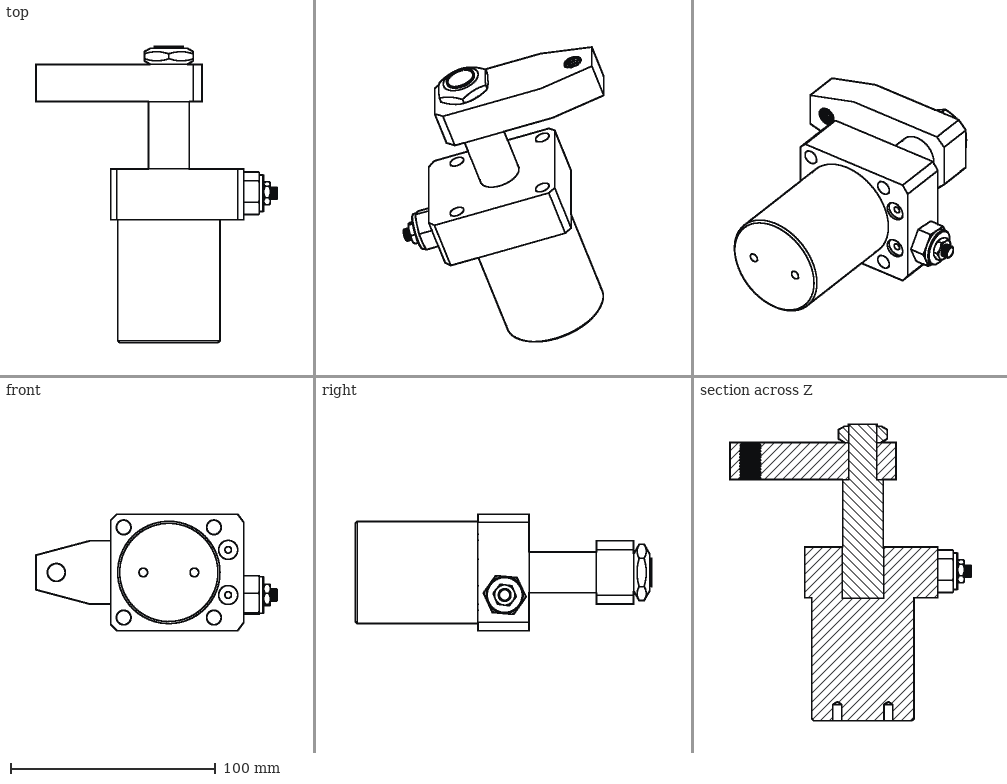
import cadquery as cq
import math


barrel_diameter = 50.0
barrel_length = 60.0
barrel_chamfer = 1.0
flange_height = 57.0
flange_thickness = 25.0
flange_left = 28.4
flange_right = 36.7
corner_chamfer = 3.0
right_corner_chamfer_z = 4.0
mount_hole_diameter = 7.0
mount_hole_spacing = 44.1
spanner_hole_diameter = 4.2
spanner_hole_spacing = 25.0
spanner_hole_depth = 8.0
drill_point_angle = 118
port_x = 29.0
port_spacing = 22.0
port_recess_diameter = 9.3
port_recess_depth = 1.5
port_diameter = 3.2
port_depth = 8.0

rod_diameter = 20.0
rod_exposed_length = 32.9
stud_diameter = 14.0
stud_projection = 1.0
stud_pitch = 1.0
stud_thread_depth = 0.6

arm_thickness = 18.1
arm_height = 31.0
arm_left = 65.0
arm_right = 16.2
arm_tip_height = 17.0
arm_taper_length = 26.4
arm_end_chamfer = 4.4
clamp_hole_x = -55.0
clamp_hole_diameter = 8.5
clamp_thread_pitch = 1.5
clamp_thread_depth = 0.7

nut_width = 23.9
nut_height = 8.0
nut_face_diameter = 18.0
nut_chamfer_angle = 30

valve_y = 13.0
valve_z = -port_spacing / 2
valve_hex_width = 18.1
valve_hex_length = 7.5
valve_hex_turn = 5.2
valve_hex_chamfer = 0.5
collar_diameter = 18.0
collar_length = 2.2
collar_chamfer = 0.5
lock_nut_width = 9.9
lock_nut_height = 3.2
lock_nut_chamfer = 0.7
lock_nut_turn = 8.0
screw_diameter = 6.1
screw_length_past_nut = 3.3
screw_end_chamfer = 0.5
screw_pitch = 0.7
screw_thread_depth = 0.5

arm_front = flange_thickness + rod_exposed_length
arm_back = arm_front + arm_thickness
nut_back = arm_back + nut_height
stud_end = nut_back + stud_projection

collar_start = valve_hex_length
lock_nut_start = collar_start + collar_length
lock_nut_end = lock_nut_start + lock_nut_height
screw_end = lock_nut_end + screw_length_past_nut

thread_fill = 0.84
groove_overlap = 0.1


def along_y(diameter, start, end, x=0, z=0):
    """Cylinder parallel to Y between two Y stations."""
    return cq.Workplane("XZ", origin=(x, start, z)).circle(diameter / 2).extrude(start - end)


def hexagon(width, height):
    """Hexagonal prism on the Z axis with two corners on the X axis."""
    return cq.Workplane("XY").polygon(6, width / math.cos(math.pi / 6)).extrude(height)


def chamfered_blank(end_radius, height, slope, chamfer_bottom):
    """Round blank on the Z axis with conical ends, used to trim the corners of a hexagon."""
    middle = height / 2
    wide_radius = end_radius + middle / slope
    profile = cq.Workplane("XZ").moveTo(0, 0)
    if chamfer_bottom:
        profile = profile.lineTo(end_radius, 0).lineTo(wide_radius, middle)
    else:
        profile = profile.lineTo(wide_radius, 0).lineTo(wide_radius, middle)
    return profile.lineTo(end_radius, height).lineTo(0, height).close().revolve(360, (0, 0), (0, 1))


def thread_grooves(surface_radius, depth, pitch, length):
    """Ring grooves of a thread on the Z axis; a negative depth cuts inward from the surface."""
    mouth_radius = surface_radius - math.copysign(groove_overlap, depth)
    half_mouth = pitch * thread_fill / 2
    ring = (
        cq.Workplane("XZ")
        .moveTo(mouth_radius, -half_mouth)
        .lineTo(surface_radius, -half_mouth)
        .lineTo(surface_radius + depth, 0)
        .lineTo(surface_radius, half_mouth)
        .lineTo(mouth_radius, half_mouth)
        .close()
        .revolve(360, (0, 0), (0, 1))
    )
    count = int(length / pitch)
    return [ring.translate((0, 0, (i + 0.5) * pitch)) for i in range(count)]


def z_axis_to_y(shape):
    """Turn a shape built on the Z axis so that its axis points along +Y."""
    return shape.rotate((0, 0, 0), (1, 0, 0), -90)


def z_axis_to_valve(shape, start):
    """Turn a shape built on the Z axis onto the valve axis, starting at the given station."""
    return shape.rotate((0, 0, 0), (0, 1, 0), 90).translate((flange_right + start, valve_y, valve_z))


def make_housing():
    top = flange_height / 2
    flange = (
        cq.Workplane("XZ")
        .moveTo(-flange_left, corner_chamfer - top)
        .lineTo(-flange_left, top - corner_chamfer)
        .lineTo(corner_chamfer - flange_left, top)
        .lineTo(flange_right - corner_chamfer, top)
        .lineTo(flange_right, top - right_corner_chamfer_z)
        .lineTo(flange_right, right_corner_chamfer_z - top)
        .lineTo(flange_right - corner_chamfer, -top)
        .lineTo(corner_chamfer - flange_left, -top)
        .close()
        .extrude(-flange_thickness)
    )
    barrel = along_y(barrel_diameter, -barrel_length, 0).faces("<Y").chamfer(barrel_chamfer)
    body = flange.union(barrel)

    body = body.cut(along_y(rod_diameter, 0, flange_thickness))

    half = mount_hole_spacing / 2
    for x in (-half, half):
        for z in (-half, half):
            body = body.cut(along_y(mount_hole_diameter, 0, flange_thickness, x, z))

    for z in (-port_spacing / 2, port_spacing / 2):
        body = body.cut(along_y(port_recess_diameter, 0, port_recess_depth, port_x, z))
        body = body.cut(along_y(port_diameter, 0, port_depth, port_x, z))

    radius = spanner_hole_diameter / 2
    point_depth = radius / math.tan(math.radians(drill_point_angle / 2))
    drill = z_axis_to_y(
        cq.Workplane("XZ")
        .lineTo(radius, 0)
        .lineTo(radius, spanner_hole_depth)
        .lineTo(0, spanner_hole_depth + point_depth)
        .close()
        .revolve(360, (0, 0), (0, 1))
    )
    for x in (-spanner_hole_spacing / 2, spanner_hole_spacing / 2):
        body = body.cut(drill.translate((x, -barrel_length, 0)))
    return body


def make_rod():
    rod = along_y(rod_diameter, 0, arm_front)
    stud = along_y(stud_diameter, arm_front, stud_end)
    rod = rod.union(stud)
    for groove in thread_grooves(stud_diameter / 2, -stud_thread_depth, stud_pitch, stud_projection):
        rod = rod.cut(z_axis_to_y(groove).translate((0, nut_back, 0)))
    return rod


def make_arm():
    top = arm_height / 2
    tip = arm_tip_height / 2
    taper_end = arm_taper_length - arm_left
    arm = (
        cq.Workplane("XZ", origin=(0, arm_front, 0))
        .moveTo(-arm_left, -tip)
        .lineTo(-arm_left, tip)
        .lineTo(taper_end, top)
        .lineTo(arm_right - arm_end_chamfer, top)
        .lineTo(arm_right, top - arm_end_chamfer)
        .lineTo(arm_right, arm_end_chamfer - top)
        .lineTo(arm_right - arm_end_chamfer, -top)
        .lineTo(taper_end, -top)
        .close()
        .extrude(-arm_thickness)
    )
    arm = arm.cut(along_y(stud_diameter, arm_front, arm_back))

    arm = arm.cut(along_y(clamp_hole_diameter, arm_front, arm_back, clamp_hole_x))
    thread = thread_grooves(clamp_hole_diameter / 2, clamp_thread_depth, clamp_thread_pitch, arm_thickness)
    for groove in thread:
        arm = arm.cut(z_axis_to_y(groove).translate((clamp_hole_x, arm_front, 0)))
    return arm


def make_rod_nut():
    slope = math.tan(math.radians(nut_chamfer_angle))
    blank = chamfered_blank(nut_face_diameter / 2, nut_height, slope, True)
    nut = hexagon(nut_width, nut_height).rotate((0, 0, 0), (0, 0, 1), 90).intersect(blank)
    return z_axis_to_y(nut).translate((0, arm_back, 0)).cut(along_y(stud_diameter, arm_back, nut_back))


def make_valve_body():
    across_corners = valve_hex_width / math.cos(math.pi / 6)
    blank = chamfered_blank(across_corners / 2 - valve_hex_chamfer, valve_hex_length, 1, False)
    body = hexagon(valve_hex_width, valve_hex_length).intersect(blank)
    return z_axis_to_valve(body.rotate((0, 0, 0), (0, 0, 1), 90 - valve_hex_turn), 0)


def make_valve_collar():
    collar = cq.Workplane("XY").circle(collar_diameter / 2).extrude(collar_length)
    collar = collar.faces(">Z").chamfer(collar_chamfer)
    bore = cq.Workplane("XY").circle(screw_diameter / 2).extrude(collar_length)
    return z_axis_to_valve(collar.cut(bore), collar_start)


def make_lock_nut():
    across_corners = lock_nut_width / math.cos(math.pi / 6)
    blank = chamfered_blank(across_corners / 2 - lock_nut_chamfer, lock_nut_height, 1, True)
    bore = cq.Workplane("XY").circle(screw_diameter / 2).extrude(lock_nut_height)
    nut = hexagon(lock_nut_width, lock_nut_height).intersect(blank).cut(bore)
    return z_axis_to_valve(nut.rotate((0, 0, 0), (0, 0, 1), 90 - lock_nut_turn), lock_nut_start)


def make_valve_screw():
    screw = cq.Workplane("XY").circle(screw_diameter / 2).extrude(screw_end - collar_start)
    screw = screw.faces(">Z").chamfer(screw_end_chamfer)
    thread_start = lock_nut_end - collar_start
    thread = thread_grooves(screw_diameter / 2, -screw_thread_depth, screw_pitch, screw_length_past_nut)
    for groove in thread:
        screw = screw.cut(groove.translate((0, 0, thread_start)))
    return z_axis_to_valve(screw, collar_start)


housing = make_housing()
rod = make_rod()
arm = make_arm()
rod_nut = make_rod_nut()
valve_body = make_valve_body()
valve_collar = make_valve_collar()
lock_nut = make_lock_nut()
valve_screw = make_valve_screw()

result = cq.Compound.makeCompound([
    housing.val(),
    rod.val(),
    arm.val(),
    rod_nut.val(),
    valve_body.val(),
    valve_collar.val(),
    lock_nut.val(),
    valve_screw.val(),
])